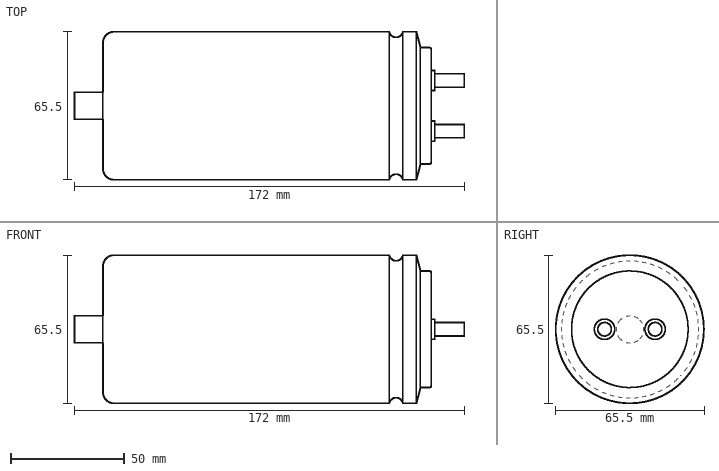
import cadquery as cq

can_radius = 32.75
bottom_round = 5.0
groove_start = 126.4
groove_width = 6.0
groove_depth = 2.5
rim_width = 6.0
curl_length = 1.7
curl_inner_radius = 26.25

lid_radius = 25.75
lid_face = 145.0
lid_round = 1.0

stud_radius = 6.0
stud_length = 12.5

terminal_pitch = 22.3
terminal_radius = 3.0
terminal_length = 14.5
collar_radius = 4.5
collar_height = 1.5

groove_end = groove_start + groove_width
groove_middle = groove_start + groove_width / 2
rim_end = groove_end + rim_width
curl_end = rim_end + curl_length


def x_cylinder(start, length, radius, y=0.0):
    """Solid cylinder along +X from X = start, centred at the given Y."""
    return cq.Workplane("YZ", origin=(start, y, 0)).circle(radius).extrude(length)


def can_body():
    """Can with a rolled groove and a rim that slopes in to the lid."""
    profile = (
        cq.Workplane("XY")
        .lineTo(0, can_radius)
        .lineTo(groove_start, can_radius)
        .threePointArc((groove_middle, can_radius - groove_depth), (groove_end, can_radius))
        .lineTo(rim_end, can_radius)
        .lineTo(curl_end, curl_inner_radius)
        .lineTo(curl_end, 0)
        .close()
    )
    can = profile.revolve(360, (0, 0, 0), (1, 0, 0))
    return can.faces("<X").edges().fillet(bottom_round)


def lid():
    """Disc standing out of the rim, with its outer edge rounded."""
    disc = x_cylinder(curl_end, lid_face - curl_end, lid_radius)
    return disc.faces(">X").edges().fillet(lid_round)


def terminal(y):
    """Round pin with a collar at its foot."""
    collar = x_cylinder(lid_face, collar_height, collar_radius, y)
    return collar.union(x_cylinder(lid_face, terminal_length, terminal_radius, y))


result = can_body().union(lid())
result = result.union(x_cylinder(-stud_length, stud_length, stud_radius))
for side in (-1, 1):
    result = result.union(terminal(side * terminal_pitch / 2))